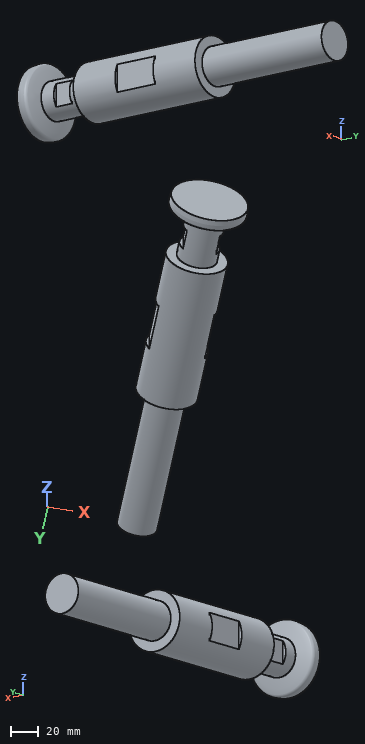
import cadquery as cq

total_length = 277.0
y_front = -total_length / 2

rod_diameter = 30.0
head_diameter = 58.0
head_height = 11.5
front_face_diameter = 56.8
taper_height = 4.2
rim_height = 7.0
dome_mid_radius = 21.3
dome_mid_height = 10.8
dome_edge_radius = 27.1
dome_edge_height = 9.1
rod_flat_start = 23.5
rod_flat_length = 15.0
rod_across_flats = 24.5

sleeve_diameter = 46.0
sleeve_start = 48.8
sleeve_length = 115.2
sleeve_flat_length = 36.0
sleeve_across_flats = 41.0


def cylinder(diameter, start, length):
    """Cylinder along +Y, beginning `start` behind the front face."""
    plane = cq.Plane(origin=(0, y_front + start, 0), xDir=(1, 0, 0), normal=(0, 1, 0))
    return cq.Workplane(plane).circle(diameter / 2).extrude(length)


def cut_flats(body, diameter, across_flats, start, length):
    """Cut two opposite wrench flats, facing -X and +X."""
    for side in (-1, 1):
        cutter = cq.Workplane("XY").box(diameter, length, diameter).translate(
            (side * (across_flats + diameter) / 2, y_front + start + length / 2, 0)
        )
        body = body.cut(cutter)
    return body


def make_rod():
    head_radius = head_diameter / 2
    rod_radius = rod_diameter / 2
    profile = (
        cq.Workplane("XY", origin=(0, y_front, 0))
        .moveTo(0, total_length)
        .lineTo(rod_radius, total_length)
        .lineTo(rod_radius, head_height)
        .threePointArc((dome_mid_radius, dome_mid_height), (dome_edge_radius, dome_edge_height))
        .tangentArcPoint((head_radius, rim_height), relative=False)
        .lineTo(head_radius, taper_height)
        .lineTo(front_face_diameter / 2, 0)
        .lineTo(0, 0)
        .close()
    )
    rod = profile.revolve(360, (0, 0, 0), (0, 1, 0))
    return cut_flats(rod, rod_diameter, rod_across_flats, rod_flat_start, rod_flat_length)


def make_sleeve():
    sleeve = cylinder(sleeve_diameter, sleeve_start, sleeve_length)
    bore = cylinder(rod_diameter, sleeve_start, sleeve_length)
    flat_start = sleeve_start + (sleeve_length - sleeve_flat_length) / 2
    sleeve = sleeve.cut(bore)
    return cut_flats(sleeve, sleeve_diameter, sleeve_across_flats, flat_start, sleeve_flat_length)


rod = make_rod()
sleeve = make_sleeve()
result = cq.Compound.makeCompound([rod.val(), sleeve.val()])